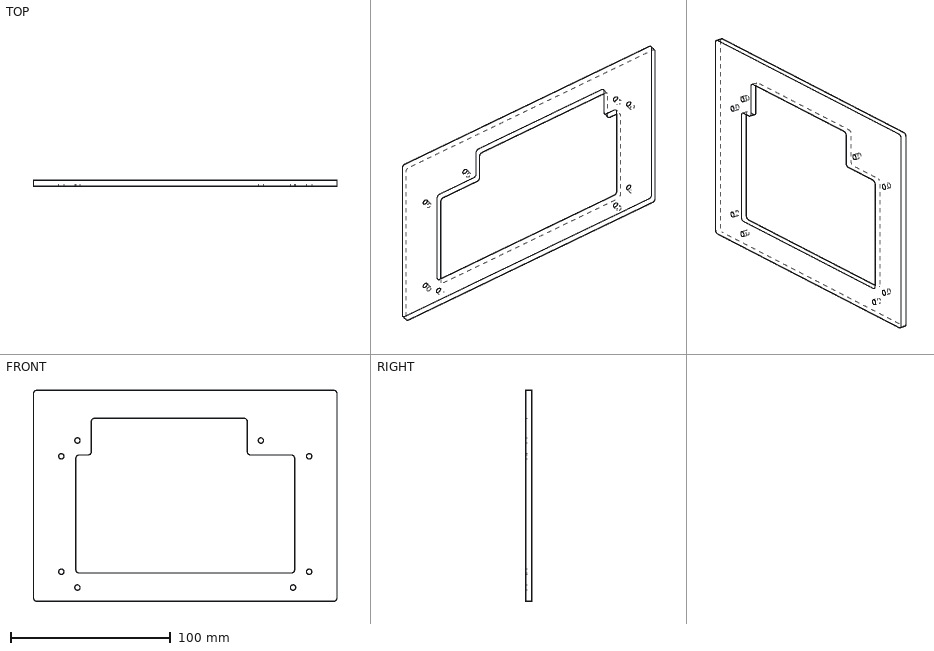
import cadquery as cq

plate_width = 190
plate_thickness = 4.0
plate_height = 132.0
plate_corner_radius = 2.0

window_center_z = -11.4
window_width = 136.8
window_height = 73.7
window_corner_radius = 2.0
notch_left = -58.7
notch_right = 38.8
notch_top = 48.5

hole_diameter = 3.2
side_hole_x = 77.5
side_hole_rise = 36.1
edge_hole_x = 67.5
edge_hole_rise = 46.0
upper_right_hole_x = 47.3

cutter_depth = 2 * plate_thickness


def make_plate():
    """Flat plate with rounded corners."""
    plate = cq.Workplane("XY").box(plate_width, plate_thickness, plate_height)
    return plate.edges("|Y").fillet(plate_corner_radius)


def make_window():
    """Cutter for the stepped opening, with every corner rounded."""
    right = window_width / 2
    left = -right
    bottom = window_center_z - window_height / 2
    shoulder = window_center_z + window_height / 2
    outline = [
        (left, bottom),
        (right, bottom),
        (right, shoulder),
        (notch_right, shoulder),
        (notch_right, notch_top),
        (notch_left, notch_top),
        (notch_left, shoulder),
        (left, shoulder),
    ]
    cutter = cq.Workplane("XZ").polyline(outline).close().extrude(cutter_depth / 2, both=True)
    return cutter.edges("|Y").fillet(window_corner_radius)


def make_holes():
    """Cutters for the holes beside, below and above the main opening."""
    centers = []
    for side in (-1, 1):
        centers.append((side * side_hole_x, window_center_z - side_hole_rise))
        centers.append((side * side_hole_x, window_center_z + side_hole_rise))
        centers.append((side * edge_hole_x, window_center_z - edge_hole_rise))
    for x in (-edge_hole_x, upper_right_hole_x):
        centers.append((x, window_center_z + edge_hole_rise))
    holes = cq.Workplane("XZ").pushPoints(centers).circle(hole_diameter / 2)
    return holes.extrude(cutter_depth / 2, both=True)


result = make_plate().cut(make_window()).cut(make_holes())